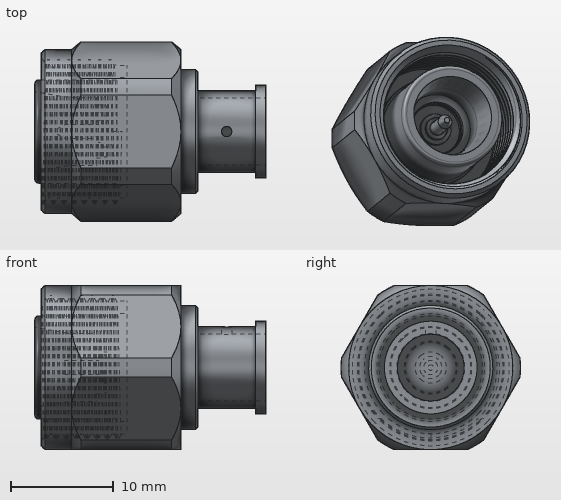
import cadquery as cq
import math


TOTAL_LENGTH = 22.51
NUT_FRONT = 0.62
HEX_FRONT = 3.6
NUT_BACK = 14.24
COLLAR_BACK = 15.9
FLANGE_THICKNESS = 1.0

FLATS_WIDTH = 16.0
RIM_RADIUS = FLATS_WIDTH / 2
HEX_CORNER_RADIUS = 8.75
HEX_BEVEL_LENGTH = 0.9
RIM_CHAMFER = 0.36

NUT_FLOOR = 9.0
ENTRY_RADIUS = 7.15
THREAD_MINOR_RADIUS = 6.46
ENTRY_CONE_LENGTH = ENTRY_RADIUS - THREAD_MINOR_RADIUS
THREAD_PITCH = 1.0
THREAD_TURNS = 8
THREAD_START = 0.085
THREAD_DEPTH = 0.58
THREAD_FLANK_SLOPE = math.tan(math.radians(30))
THREAD_ROOT_FLAT = THREAD_PITCH / 8
THREAD_OVERLAP = 0.05

SLEEVE_RADIUS = 5.04
SLEEVE_ROUNDING = 0.41
SHOULDER_RADIUS = 5.25
SHOULDER_LENGTH = 1.0

MOUTH_RADIUS = 3.9
SOCKET_RADIUS = 3.31
SOCKET_CONE_LENGTH = 3.4
SOCKET_DEPTH = 6.0
RECESS_RADIUS = 2.58
RECESS_DEPTH = 6.5
INNER_RECESS_RADIUS = 2.47
INNER_RECESS_DEPTH = 7.0

PIN_TIP = 2.2
PIN_TIP_RADIUS = 0.27
PIN_TAPER_LENGTH = 0.8
PIN_RADIUS = 0.69
PIN_COLLAR_RADIUS = 1.08
PIN_COLLAR_FRONT = 6.2
PIN_BASE_RADIUS = 1.52
PIN_BASE_FRONT = 6.6

COLLAR_RADIUS = 6.05
COLLAR_CHAMFER = 0.25
TAIL_RADIUS = 4.0
FLANGE_RADIUS = 4.52
CABLE_BORE_RADIUS = 3.25
SIDE_HOLE_DIAMETER = 1.0
SIDE_HOLE_X = 18.7


def turned(outline):
    """Revolve a closed half outline, drawn as (X, radius), about the X axis."""
    return outline.close().revolve(360, (0, 0, 0), (1, 0, 0))


def turned_points(points):
    return turned(cq.Workplane("XZ").polyline(points))


def make_hex():
    """Hexagon with its flats facing +Z and -Z and its corners turned down and bevelled."""
    corners_width = FLATS_WIDTH / math.cos(math.radians(30))
    prism = (
        cq.Workplane("YZ", origin=(HEX_FRONT, 0, 0))
        .polygon(6, corners_width)
        .extrude(NUT_BACK - HEX_FRONT)
    )
    envelope = turned_points([
        (HEX_FRONT, 0),
        (HEX_FRONT, RIM_RADIUS),
        (HEX_FRONT + HEX_BEVEL_LENGTH, HEX_CORNER_RADIUS),
        (NUT_BACK - HEX_BEVEL_LENGTH, HEX_CORNER_RADIUS),
        (NUT_BACK, RIM_RADIUS),
        (NUT_BACK, 0),
    ])
    return prism.intersect(envelope)


def make_rim():
    """Round front end of the nut."""
    return turned_points([
        (NUT_FRONT, 0),
        (NUT_FRONT, RIM_RADIUS - RIM_CHAMFER),
        (NUT_FRONT + RIM_CHAMFER, RIM_RADIUS),
        (HEX_FRONT, RIM_RADIUS),
        (HEX_FRONT, 0),
    ])


def make_nut_bore():
    """Plain inside of the nut with its conical entry."""
    return turned_points([
        (NUT_FRONT, 0),
        (NUT_FRONT, ENTRY_RADIUS),
        (NUT_FRONT + ENTRY_CONE_LENGTH, THREAD_MINOR_RADIUS),
        (NUT_FLOOR, THREAD_MINOR_RADIUS),
        (NUT_FLOOR, 0),
    ])


def make_thread_groove():
    """Right-hand helical groove, swept along Z and then laid along X so it starts on the -Z side.

    The profile reaches slightly inside the bore so that the cut opens cleanly into it.
    """
    inner_radius = THREAD_MINOR_RADIUS - THREAD_OVERLAP
    root_radius = THREAD_MINOR_RADIUS + THREAD_DEPTH
    root_half_width = THREAD_ROOT_FLAT / 2
    inner_half_width = root_half_width + (root_radius - inner_radius) * THREAD_FLANK_SLOPE
    helix = cq.Wire.makeHelix(THREAD_PITCH, THREAD_TURNS * THREAD_PITCH, THREAD_MINOR_RADIUS)
    groove = (
        cq.Workplane("XZ")
        .polyline([
            (inner_radius, -inner_half_width),
            (root_radius, -root_half_width),
            (root_radius, root_half_width),
            (inner_radius, inner_half_width),
        ])
        .close()
        .sweep(cq.Workplane(helix), isFrenet=True)
    )
    return groove.rotate((0, 0, 0), (0, 1, 0), 90).translate((THREAD_START, 0, 0))


def make_nut():
    blank = make_hex().union(make_rim())
    return blank.cut(make_nut_bore()).cut(make_thread_groove())


def make_sleeve():
    """Outer contact sleeve with a rounded front edge and a shoulder at the nut floor."""
    rounding_middle = SLEEVE_ROUNDING * (1 - math.sqrt(0.5))
    outline = (
        cq.Workplane("XZ")
        .lineTo(0, SLEEVE_RADIUS - SLEEVE_ROUNDING)
        .threePointArc(
            (rounding_middle, SLEEVE_RADIUS - rounding_middle),
            (SLEEVE_ROUNDING, SLEEVE_RADIUS),
        )
        .lineTo(NUT_FLOOR - SHOULDER_LENGTH, SLEEVE_RADIUS)
        .lineTo(NUT_FLOOR - SHOULDER_LENGTH, SHOULDER_RADIUS)
        .lineTo(NUT_FLOOR, SHOULDER_RADIUS)
        .lineTo(NUT_FLOOR, 0)
    )
    return turned(outline)


def make_socket():
    """Space between the sleeve and the stepped centre pin."""
    return turned_points([
        (0, 0),
        (0, MOUTH_RADIUS),
        (SOCKET_CONE_LENGTH, SOCKET_RADIUS),
        (SOCKET_DEPTH, SOCKET_RADIUS),
        (SOCKET_DEPTH, RECESS_RADIUS),
        (RECESS_DEPTH, RECESS_RADIUS),
        (RECESS_DEPTH, INNER_RECESS_RADIUS),
        (INNER_RECESS_DEPTH, INNER_RECESS_RADIUS),
        (INNER_RECESS_DEPTH, PIN_BASE_RADIUS),
        (PIN_BASE_FRONT, PIN_BASE_RADIUS),
        (PIN_BASE_FRONT, PIN_COLLAR_RADIUS),
        (PIN_COLLAR_FRONT, PIN_COLLAR_RADIUS),
        (PIN_COLLAR_FRONT, PIN_RADIUS),
        (PIN_TIP + PIN_TAPER_LENGTH, PIN_RADIUS),
        (PIN_TIP, PIN_TIP_RADIUS),
        (PIN_TIP, 0),
    ])


def make_rear_body():
    """Collar behind the nut and the hollow cable tail with its end flange."""
    flange_front = TOTAL_LENGTH - FLANGE_THICKNESS
    return turned_points([
        (NUT_BACK, 0),
        (NUT_BACK, COLLAR_RADIUS),
        (COLLAR_BACK - COLLAR_CHAMFER, COLLAR_RADIUS),
        (COLLAR_BACK, COLLAR_RADIUS - COLLAR_CHAMFER),
        (COLLAR_BACK, TAIL_RADIUS),
        (flange_front, TAIL_RADIUS),
        (flange_front, FLANGE_RADIUS),
        (TOTAL_LENGTH, FLANGE_RADIUS),
        (TOTAL_LENGTH, CABLE_BORE_RADIUS),
        (COLLAR_BACK, CABLE_BORE_RADIUS),
        (COLLAR_BACK, 0),
    ])


def make_side_hole():
    """Hole through the upper wall of the tail into the cable bore."""
    return (
        cq.Workplane("XY")
        .center(SIDE_HOLE_X, 0)
        .circle(SIDE_HOLE_DIAMETER / 2)
        .extrude(FLANGE_RADIUS)
    )


result = (
    make_nut()
    .union(make_sleeve())
    .union(make_rear_body())
    .cut(make_socket())
    .cut(make_side_hole())
)